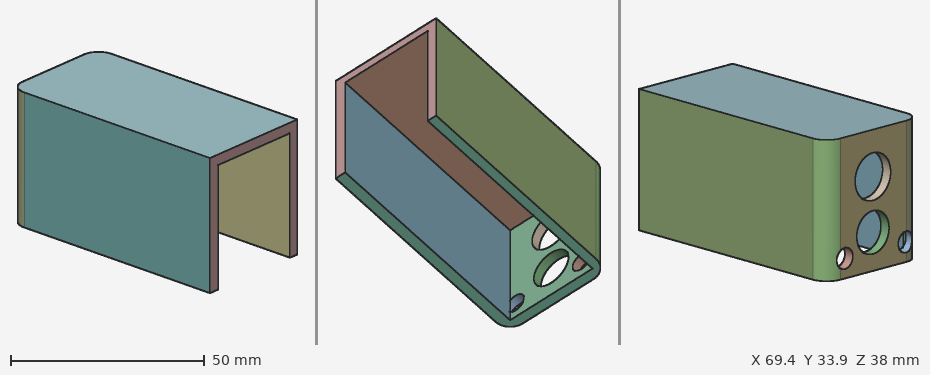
import cadquery as cq

length = 69.35
width = 33.85
height = 38.0
corner_radius = 5.0

end_wall = 3.0
front_wall = 3.25
back_wall = 2.85
top_wall = 3.0

large_diameter = 12.8
large_height = 25.4
medium_diameter = 11.65
medium_height = 10.4
small_diameter = 5.7
small_height = 5.4
small_spacing = 22.05
hole_axis_y = 0.15
small_pair_y = -0.8

hole_list = [
    (large_diameter, hole_axis_y, large_height),
    (medium_diameter, hole_axis_y, medium_height),
    (small_diameter, small_pair_y - small_spacing / 2, small_height),
    (small_diameter, small_pair_y + small_spacing / 2, small_height),
]


def make_block():
    """Solid block with its two upright edges at the end wall rounded."""
    block = cq.Workplane("XY").box(length, width, height, centered=(False, True, False))
    return block.edges("|Z and <X").fillet(corner_radius)


def make_cavity():
    """Rectangular space that leaves the end, side and top walls."""
    cavity = cq.Workplane("XY").box(
        length - end_wall,
        width - front_wall - back_wall,
        height - top_wall,
        centered=(False, True, False),
    )
    return cavity.translate((end_wall, (front_wall - back_wall) / 2, 0))


def make_hole(diameter, y, z):
    """Round cutter along X that passes through the end wall."""
    return cq.Workplane("YZ").center(y, z).circle(diameter / 2).extrude(end_wall)


result = make_block().cut(make_cavity())
for diameter, y, z in hole_list:
    result = result.cut(make_hole(diameter, y, z))